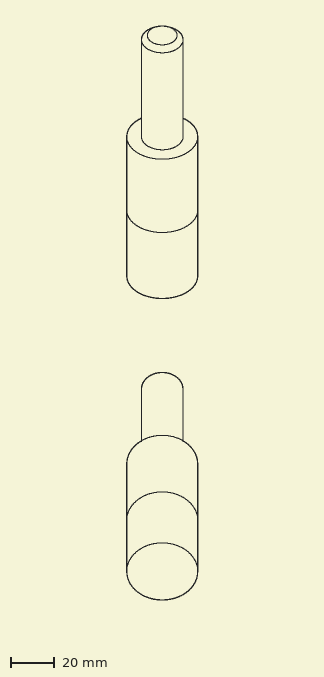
import cadquery as cq

total_height = 152.4
body_diameter = 32.5
shank_diameter = 19.0

cone_height = 9.9
joint_level = 49.0
shoulder_level = 92.5

bevel_height = 2.5
bevel_width = 2.7

body_radius = body_diameter / 2
shank_radius = shank_diameter / 2


def make_tip():
    """Lower body: a cylinder that ends in a cone, with its point at the origin."""
    profile = (
        cq.Workplane("XZ")
        .moveTo(0, 0)
        .lineTo(body_radius, cone_height)
        .lineTo(body_radius, joint_level)
        .lineTo(0, joint_level)
        .close()
    )
    return profile.revolve(360, (0, 0, 0), (0, 1, 0))


def make_holder():
    """Upper body: a collar as wide as the tip, with a bevelled shank on top."""
    collar = (
        cq.Workplane("XY")
        .workplane(offset=joint_level)
        .circle(body_radius)
        .extrude(shoulder_level - joint_level)
    )
    shank = (
        cq.Workplane("XY")
        .workplane(offset=shoulder_level)
        .circle(shank_radius)
        .extrude(total_height - shoulder_level)
        .faces(">Z")
        .edges()
        .chamfer(bevel_height, bevel_width)
    )
    return collar.union(shank)


tip = make_tip()
holder = make_holder()

result = cq.Compound.makeCompound([tip.val(), holder.val()])